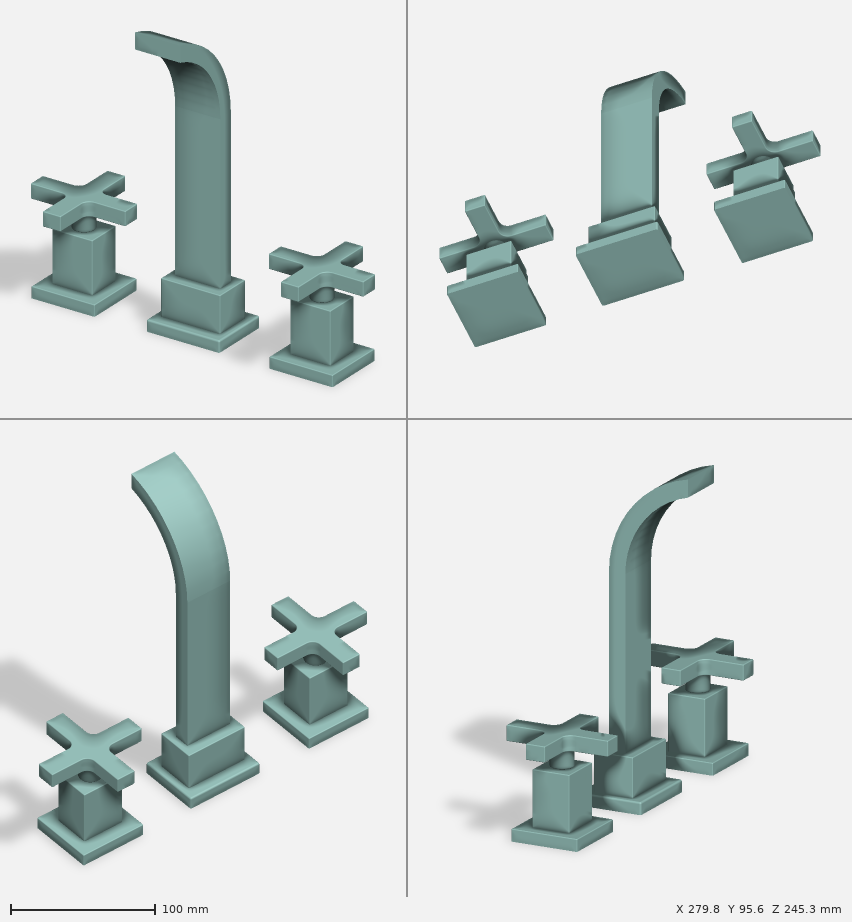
import cadquery as cq
import math

total_width = 279.8
total_height = 245.3
base_height = 9.2
edge_radius = 0.7

cross_span = 79.7
cross_arm_width = 15.0
cross_thickness = 11.7
cross_corner_radius = 6.5
cross_top = 77.5
stem_diameter = 17.3
handle_post_width = 33.9
handle_post_depth = 29.0
handle_post_top = 51.5
handle_base_width = 53.2
handle_base_depth = 51.8
handle_offset = (total_width - cross_span) / 2

spout_base_width = 61.5
spout_base_depth = 49.8
spout_base_radius = 1.5
spout_post_width = 49.8
spout_post_depth = 30.8
spout_post_top = 39.0
blade_width = 38.0
blade_thickness = 13.0
blade_bend_start = 169.3
blade_back = 6.5
blade_tip = -55.7


def rounded_block(width, depth, bottom, top, radius):
    """Upright block centred on the Z axis, with its vertical and top edges rounded."""
    block = cq.Workplane("XY").workplane(offset=bottom).rect(width, depth).extrude(top - bottom)
    return block.edges("|Z or >Z").fillet(radius)


def make_cross():
    """Cross-shaped grip with filleted inner corners and rounded outer edges."""
    bottom = cross_top - cross_thickness
    level = cq.Workplane("XY").workplane(offset=bottom)
    arm_x = level.rect(cross_span, cross_arm_width).extrude(cross_thickness)
    arm_y = level.rect(cross_arm_width, cross_span).extrude(cross_thickness)
    cross = arm_x.union(arm_y)

    reach = cross_arm_width
    inner_region = cq.selectors.BoxSelector((-reach, -reach, bottom), (reach, reach, cross_top))
    cross = cross.edges("|Z").edges(inner_region).fillet(cross_corner_radius)

    cross = cross.faces("<X or >X or <Y or >Y").edges("|Z").fillet(edge_radius)
    return cross.faces("<Z or >Z").edges().fillet(edge_radius)


def make_handle():
    """Base plate, post, round stem and cross grip as one solid on the Z axis."""
    base = rounded_block(handle_base_width, handle_base_depth, 0, base_height, edge_radius)
    post = rounded_block(handle_post_width, handle_post_depth, base_height, handle_post_top, edge_radius)
    stem_height = cross_top - cross_thickness - handle_post_top
    stem = cq.Workplane("XY").workplane(offset=handle_post_top).circle(stem_diameter / 2).extrude(stem_height)
    stem = stem.faces("<Z or >Z").edges().fillet(edge_radius)
    return base.union(post).union(stem).union(make_cross())


def make_blade():
    """Flat blade that rises straight, then bends forward on two concentric arcs."""
    blade_front = blade_back - blade_thickness
    reach = blade_back - blade_tip
    rise = total_height - blade_bend_start
    outer_radius = (reach**2 + rise**2) / (2 * reach)
    inner_radius = outer_radius - blade_thickness
    bend_center_y = blade_back - outer_radius

    def arc_point(radius, angle):
        return (
            bend_center_y + radius * math.cos(angle),
            blade_bend_start + radius * math.sin(angle),
        )

    outer_sweep = math.acos((blade_tip - bend_center_y) / outer_radius)
    inner_sweep = math.acos((blade_tip - bend_center_y) / inner_radius)

    profile = (
        cq.Workplane("YZ")
        .moveTo(blade_front, spout_post_top)
        .lineTo(blade_back, spout_post_top)
        .lineTo(blade_back, blade_bend_start)
        .threePointArc(arc_point(outer_radius, outer_sweep / 2), arc_point(outer_radius, outer_sweep))
        .lineTo(*arc_point(inner_radius, inner_sweep))
        .threePointArc(arc_point(inner_radius, inner_sweep / 2), (blade_front, blade_bend_start))
        .close()
    )
    return profile.extrude(blade_width / 2, both=True)


def make_spout():
    """Base plate, post and curved blade as one solid."""
    base = rounded_block(spout_base_width, spout_base_depth, 0, base_height, spout_base_radius)
    post = rounded_block(spout_post_width, spout_post_depth, base_height, spout_post_top, edge_radius)
    return base.union(post).union(make_blade())


spout = make_spout()
handles = [make_handle().translate((side * handle_offset, 0, 0)) for side in (-1, 1)]

result = cq.Compound.makeCompound([spout.val(), *[handle.val() for handle in handles]])